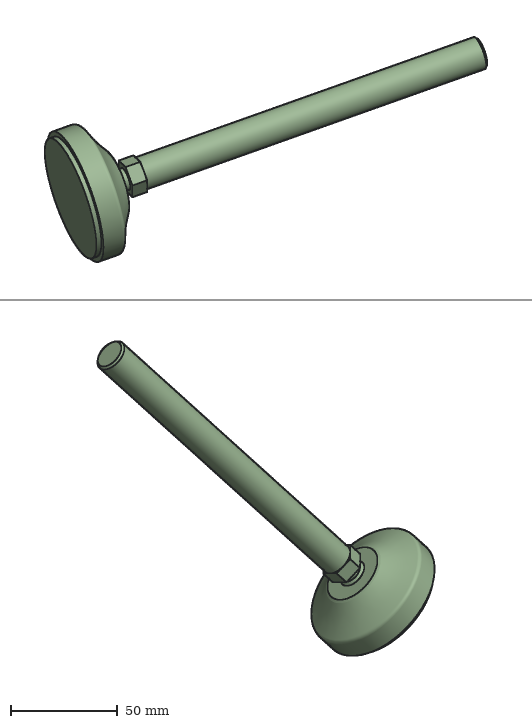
import cadquery as cq
import math

total_length = 211.0

pad_diameter = 60.0
pad_height = 2.5
foot_diameter = 65.0
rim_top = 12.5
rim_round_width = 1.3
rim_round_height = 2.0
crown_radius = 16.2
crown_edge_height = 23.0
crown_round_width = 1.5
foot_top = 23.6
flank_sag = 0.53

neck_diameter = 11.0
neck_base_diameter = 14.0
neck_flare_top = 25.0
hex_bottom = 28.3
hex_height = 7.5
hex_across_flats = 16.0
rod_diameter = 16.0
rod_chamfer = 1.0


def make_foot():
    """Revolved foot with a recessed pad and a slightly hollow conical flank."""
    pad_radius = pad_diameter / 2
    foot_radius = foot_diameter / 2
    flank_radius = foot_radius - rim_round_width
    flank_bottom = rim_top + rim_round_height

    run = flank_radius - crown_radius
    rise = crown_edge_height - flank_bottom
    chord = math.hypot(run, rise)
    flank_middle = (
        (flank_radius + crown_radius) / 2 - flank_sag * rise / chord,
        (flank_bottom + crown_edge_height) / 2 - flank_sag * run / chord,
    )
    return (
        cq.Workplane("XY")
        .lineTo(pad_radius, 0)
        .lineTo(pad_radius, pad_height)
        .lineTo(foot_radius, pad_height)
        .lineTo(foot_radius, rim_top)
        .tangentArcPoint((flank_radius, flank_bottom), relative=False)
        .threePointArc(flank_middle, (crown_radius, crown_edge_height))
        .lineTo(crown_radius - crown_round_width, foot_top)
        .lineTo(0, foot_top)
        .close()
        .revolve(360, (0, 0, 0), (0, 1, 0))
    )


def make_neck():
    """Thin neck with a flared base, joining the foot to the hexagon."""
    neck_radius = neck_diameter / 2
    return (
        cq.Workplane("XY")
        .moveTo(0, foot_top)
        .lineTo(neck_base_diameter / 2, foot_top)
        .lineTo(neck_radius, neck_flare_top)
        .lineTo(neck_radius, hex_bottom)
        .lineTo(0, hex_bottom)
        .close()
        .revolve(360, (0, 0, 0), (0, 1, 0))
    )


def make_hexagon():
    """Wrench hexagon with two of its corners pointing along Z."""
    across_corners = hex_across_flats / math.cos(math.pi / 6)
    return (
        cq.Workplane("XZ", origin=(0, hex_bottom, 0))
        .transformed(rotate=(0, 0, 90))
        .polygon(6, across_corners)
        .extrude(-hex_height)
    )


def make_rod():
    """Long rod with a chamfered free end."""
    rod_bottom = hex_bottom + hex_height
    return (
        cq.Workplane("XZ", origin=(0, rod_bottom, 0))
        .circle(rod_diameter / 2)
        .extrude(rod_bottom - total_length)
        .faces(">Y")
        .chamfer(rod_chamfer)
    )


result = make_foot().union(make_neck()).union(make_hexagon()).union(make_rod())